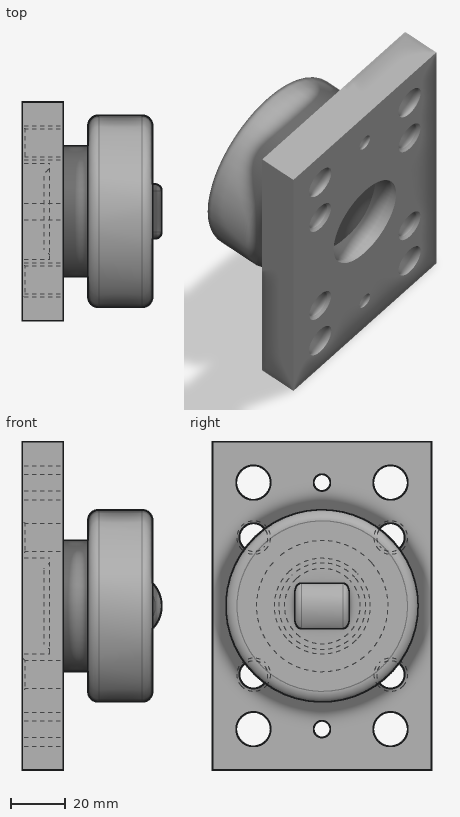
import cadquery as cq

plate_thickness = 15.0
plate_width = 80.0
plate_height = 120.0

hole_spacing_y = 50.0
outer_row_spacing = 90.0
inner_row_spacing = hole_spacing_y
mounting_hole_diameter = 12.5
dowel_hole_diameter = 6.0
tapped_hole_diameter = 10.2
countersink_diameter = 12.2
countersink_depth = (countersink_diameter - tapped_hole_diameter) / 2

recess_diameter = 35.0
recess_depth = 10.0
pin_diameter = 31.7
pin_chamfer = 2.0
pin_height = pin_chamfer

hub_diameter = 48.0
roller_diameter = 70.2
roller_start = 24.0
roller_end = 47.6
roller_edge_radius = 4.0

side_roller_radius = 12.0
side_roller_width = 20.0
side_roller_edge_radius = 2.5
overall_depth = 51.0


def x_cylinder(diameter, start, end):
    """Cylinder along the X axis between two X positions."""
    return cq.Workplane("YZ").workplane(offset=start).circle(diameter / 2).extrude(end - start)


def plate_holes(points, diameter):
    """Cutters through the plate at the given (y, z) points."""
    return cq.Workplane("YZ").pushPoints(points).circle(diameter / 2).extrude(plate_thickness)


def grid(spacing_y, spacing_z):
    """Four (y, z) points of a centred rectangle."""
    return [(y * spacing_y / 2, z * spacing_z / 2) for y in (-1, 1) for z in (-1, 1)]


plate = cq.Workplane("XY").box(plate_thickness, plate_width, plate_height, centered=(False, True, True))
plate = plate.cut(plate_holes(grid(hole_spacing_y, outer_row_spacing), mounting_hole_diameter))
dowel_points = [(0, -outer_row_spacing / 2), (0, outer_row_spacing / 2)]
plate = plate.cut(plate_holes(dowel_points, dowel_hole_diameter))
tapped_points = grid(hole_spacing_y, inner_row_spacing)
plate = plate.cut(plate_holes(tapped_points, tapped_hole_diameter))
for y, z in tapped_points:
    countersink = cq.Solid.makeCone(
        countersink_diameter / 2,
        tapped_hole_diameter / 2,
        countersink_depth,
        pnt=cq.Vector(0, y, z),
        dir=cq.Vector(1, 0, 0),
    )
    plate = plate.cut(cq.Workplane(obj=countersink))

plate = plate.cut(x_cylinder(recess_diameter, 0, recess_depth))
pin = x_cylinder(pin_diameter, recess_depth - pin_height, plate_thickness)
pin = pin.faces("<X").chamfer(pin_chamfer)

hub = x_cylinder(hub_diameter, plate_thickness, roller_start)
roller = x_cylinder(roller_diameter, roller_start, roller_end).edges().fillet(roller_edge_radius)

side_roller = (
    cq.Workplane("XZ")
    .center(overall_depth - side_roller_radius, 0)
    .circle(side_roller_radius)
    .extrude(side_roller_width / 2, both=True)
    .edges("%CIRCLE")
    .fillet(side_roller_edge_radius)
)

result = plate.union(pin).union(hub).union(roller).union(side_roller)